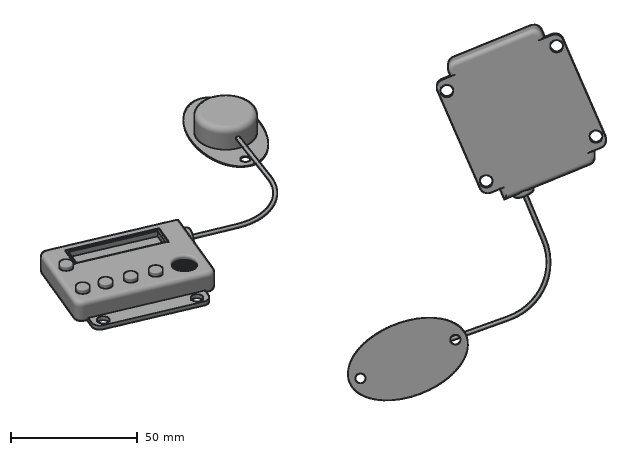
import cadquery as cq
import math

box_width = 40.0
box_length = 60.0
box_height = 10.0
box_corner_radius = 3.5
box_edge_radius = 2.0

flange_length = 50.0
flange_thickness = 2.0
flange_corner_radius = 3.5
flange_hole_diameter = 5.0
flange_hole_spacing_x = 47.0
flange_hole_spacing_y = 40.0
flange_width = flange_hole_spacing_x + 2 * flange_corner_radius

window_x = -11.0
window_width = 10.0
window_length = 40.0
window_ledge = 1.0
window_step_depth = 0.5
window_depth = 3.0

sounder_x = 9.9
sounder_y = 20.2
sounder_diameter = 10.0
sounder_lip_radius = 1.0
sounder_depth = 2.0
grille_hole_diameter = 0.5
grille_hole_depth = 1.0
grille_pitch = 0.7

button_diameter = 5.7
button_height = 2.0
button_edge_radius = 0.46
button_column_x = 12.0
button_bottom_y = -24.0
button_places = [
    (button_column_x, 7.1),
    (button_column_x, -3.6),
    (button_column_x, -14.3),
    (button_column_x, button_bottom_y),
    (-5.2, button_bottom_y),
]

overall_length = 119.8
sensor_x = -80.2
pad_length = 50.0
pad_width = 30.0
sensor_y = overall_length - box_length / 2 - pad_width / 2
pad_thickness = 0.5
pad_hole_diameter = 4.0
pad_hole_spacing = 40.7
puck_diameter = 25.0
puck_height = 10.0
puck_edge_radius = 2.5

grommet_x = -12.0
grommet_diameter = 8.7
grommet_length = 2.0
grommet_edge_radius = 1.3
cable_diameter = 1.7
cable_bend_radius = 24.5
cable_corner_x = -12.5
cable_corner_y = 77.2
socket_depth = 1.3


def make_box_shell():
    """Box with every edge rounded, and upright edges rounded except the -X, +Y one."""
    shell = cq.Workplane("XY").rect(box_width, box_length).extrude(box_height)
    shell = shell.edges("|Z and (>X or <Y)").fillet(box_corner_radius)
    return shell.faces("<Z or >Z").edges().fillet(box_edge_radius)


def make_flange():
    return (
        cq.Workplane("XY").rect(flange_width, flange_length).extrude(flange_thickness)
        .edges("|Z").fillet(flange_corner_radius)
        .faces(">Z").workplane()
        .rect(flange_hole_spacing_x, flange_hole_spacing_y, forConstruction=True)
        .vertices().hole(flange_hole_diameter)
    )


def cut_window(body):
    top = cq.Workplane("XY", origin=(window_x, 0, box_height))
    step = top.rect(window_width, window_length).extrude(-window_step_depth)
    well = top.rect(window_width - 2 * window_ledge, window_length - 2 * window_ledge).extrude(-window_depth)
    return body.cut(step).cut(well)


def grille_points():
    """Square grid of hole centres that lie wholly inside the recess floor."""
    reach = sounder_diameter / 2 - grille_hole_diameter
    steps = math.floor(reach / grille_pitch)
    offsets = [i * grille_pitch for i in range(-steps, steps + 1)]
    return [(x, y) for x in offsets for y in offsets if math.hypot(x, y) <= reach]


def cut_sounder(body):
    recess = (
        cq.Workplane("XY", origin=(sounder_x, sounder_y, box_height))
        .circle(sounder_diameter / 2).extrude(-sounder_depth)
    )
    body = body.cut(recess)
    rim = cq.selectors.NearestToPointSelector((sounder_x, sounder_y, box_height))
    body = body.edges(rim).fillet(sounder_lip_radius)
    holes = (
        cq.Workplane("XY", origin=(sounder_x, sounder_y, box_height - sounder_depth))
        .pushPoints(grille_points()).circle(grille_hole_diameter / 2).extrude(-grille_hole_depth)
    )
    return body.cut(holes)


def make_button(x, y):
    return (
        cq.Workplane("XY", origin=(x, y, box_height))
        .circle(button_diameter / 2).extrude(button_height)
        .faces(">Z").edges().fillet(button_edge_radius)
    )


def make_pad():
    return (
        cq.Workplane("XY", origin=(sensor_x, sensor_y, 0))
        .ellipse(pad_length / 2, pad_width / 2).extrude(pad_thickness)
        .faces(">Z").workplane(origin=(sensor_x, sensor_y, pad_thickness))
        .rarray(pad_hole_spacing, 1.3, 2, 1).hole(pad_hole_diameter)
    )


def make_puck():
    return (
        cq.Workplane("XY", origin=(sensor_x, sensor_y, pad_thickness))
        .circle(puck_diameter / 2).extrude(puck_height)
        .faces(">Z").edges().fillet(puck_edge_radius)
    )


def make_grommet():
    """Round boss whose root reaches inside the box, to be trimmed by the box."""
    root = 2 * box_edge_radius
    return (
        cq.Workplane("XZ", origin=(grommet_x, box_length / 2 - root, box_height / 2))
        .circle(grommet_diameter / 2).extrude(-root - grommet_length)
        .faces(">Y").edges().fillet(grommet_edge_radius)
    )


def make_cable():
    """Round cable: two straight runs joined by a tangent bend."""
    grommet_end_y = box_length / 2 + grommet_length - socket_depth
    sensor_end_x = sensor_x + puck_diameter / 2 - socket_depth
    start = cq.Vector(sensor_end_x, sensor_y, pad_thickness + puck_height / 2)
    end = cq.Vector(grommet_x, grommet_end_y, box_height / 2)
    corner = cq.Vector(cable_corner_x, cable_corner_y, box_height / 2)
    to_start = (start - corner).normalized()
    to_end = (end - corner).normalized()
    half_angle = to_start.getAngle(to_end) / 2
    bisector = (to_start + to_end).normalized()
    tangent_length = cable_bend_radius / math.tan(half_angle)
    bend_start = corner + to_start * tangent_length
    bend_end = corner + to_end * tangent_length
    bend_middle = corner + bisector * (cable_bend_radius / math.sin(half_angle) - cable_bend_radius)
    path = cq.Wire.assembleEdges([
        cq.Edge.makeLine(start, bend_start),
        cq.Edge.makeThreePointArc(bend_start, bend_middle, bend_end),
        cq.Edge.makeLine(bend_end, end),
    ])
    profile = cq.Workplane(cq.Plane(origin=start, normal=corner - start)).circle(cable_diameter / 2)
    return profile.sweep(cq.Workplane(obj=path))


box_shell = make_box_shell()
housing = cut_sounder(cut_window(box_shell.union(make_flange())))
buttons = [make_button(x, y) for x, y in button_places]
pad = make_pad()
cable = make_cable()
puck = make_puck().cut(cable)
grommet = make_grommet().cut(box_shell).cut(cable)

result = cq.Compound.makeCompound([
    housing.val(),
    *[button.val() for button in buttons],
    pad.val(),
    puck.val(),
    grommet.val(),
    cable.val(),
])